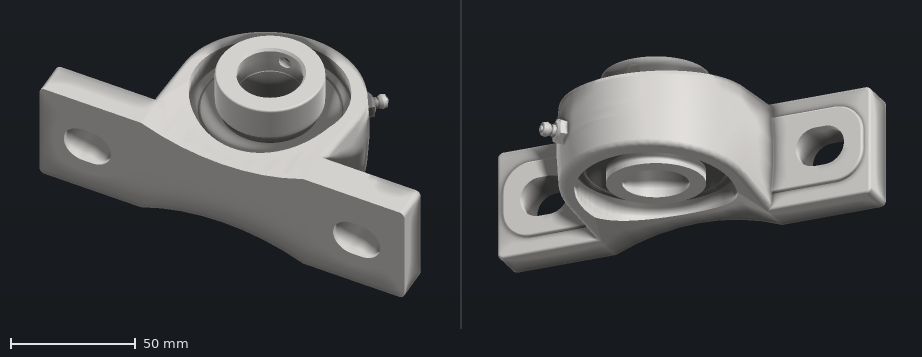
import cadquery as cq
import math

BASE_LENGTH = 164.0
BASE_HEIGHT = 15.3
BASE_WIDTH = 46.9
BASE_CORNER_RADIUS = 2.5
BASE_EDGE_RADIUS = 1.1

PAD_LENGTH = 158.1
PAD_WIDTH = 32.8
PAD_HEIGHT = 1.8
PAD_CORNER_RADIUS = 12.3
PAD_EDGE_RADIUS = 0.8
PAD_ROOT_RADIUS = 0.8

SLOT_LENGTH = 21.2
SLOT_WIDTH = 16.9
SLOT_SPACING = 121.0

BORE_HEIGHT = 43.0
ARCH_RADIUS = 40.0
ARCH_CROWN = 1.8
ARCH_EDGE_RADIUS = 2.6
ARCH_TOP_WIDTH = 32.1

WAIST_WIDTH = 72.8
WAIST_DEPTH = 7.4

OUTER_RING_DIAMETER = 65.5
OUTER_RING_BORE = 51.3
OUTER_RING_CHAMFER_HEIGHT = 0.7
OUTER_RING_CHAMFER_DEPTH = 1.1
RING_HALF_WIDTH = 10.5

SEAL_DIAMETER = 58.0
SEAL_THICKNESS = 2.0
SEAL_FACE_DIAMETER = 56.0
SEAL_CHAMFER = (SEAL_DIAMETER - SEAL_FACE_DIAMETER) / 2
SEAT_CHAMFER = 0.5

SHAFT_BORE = 27.0
NECK_DIAMETER = 40.3
SPIGOT_DIAMETER = 37.7
SPIGOT_TOP = 18.5
SPIGOT_BORE_CHAMFER = 0.5
INNER_RING_BOTTOM = -16.2

COLLAR_DIAMETER = 44.5
COLLAR_LIP_DIAMETER = 41.3
COLLAR_LIP_HEIGHT = 1.6
COLLAR_BOTTOM = 13.1
COLLAR_TOP = 30.2
COLLAR_EDGE_RADIUS = 1.0
COLLAR_BORE_CHAMFER = 1.0

SCREW_DIAMETER = 5.4
SCREW_HEIGHT = 24.3
SCREW_INNER_RADIUS = 17.2
SCREW_OUTER_RADIUS = 23.1

FITTING_ANGLE = 45.0
HEX_FLATS = 9.3
CROWN_BASE_DIAMETER = 9.2
CROWN_TOP_DIAMETER = 7.2
SHANK_DIAMETER = 5.0
NECK_GROOVE_DIAMETER = 3.3
HEAD_BASE_DIAMETER = 5.0
HEAD_RIM_DIAMETER = 6.2
HEAD_TOP_DIAMETER = 5.4
TIP_DIAMETER = 2.5
SHANK_START = 36.0
HEX_START = 39.9
HEX_END = 42.8
CROWN_END = 43.6
SHOULDER_END = 45.1
HEAD_START = 46.0
HEAD_RIM = 47.2
HEAD_END = 49.0
TIP_END = 49.9


def tube(outer_diameter, inner_diameter, bottom, top):
    """Ring around the bore axis between two heights along Z."""
    return (
        cq.Workplane("XY", origin=(0, BORE_HEIGHT, bottom))
        .circle(outer_diameter / 2)
        .circle(inner_diameter / 2)
        .extrude(top - bottom)
    )


def disc(diameter, bottom, top):
    """Solid cylinder on the bore axis between two heights along Z."""
    return cq.Workplane("XY", origin=(0, BORE_HEIGHT, bottom)).circle(diameter / 2).extrude(top - bottom)


def foot_block(length, width, bottom, top):
    """Rectangular block centred on X and Z between two heights along Y."""
    return cq.Workplane("XY").box(length, top - bottom, width).translate((0, (bottom + top) / 2, 0))


def waist_cutters():
    """Concave scoops in both sides of the foot, reaching up to the bore axis."""
    edge = BASE_WIDTH / 2
    scoop = (
        cq.Workplane("XZ")
        .moveTo(-WAIST_WIDTH / 2, edge)
        .threePointArc((0, edge - WAIST_DEPTH), (WAIST_WIDTH / 2, edge))
        .close()
        .extrude(-BORE_HEIGHT)
    )
    return scoop.union(scoop.mirror("XY"))


def make_plate():
    """Foot plate with rounded corners, a waist on each side and a rounded top rim."""
    plate = foot_block(BASE_LENGTH, BASE_WIDTH, 0, BASE_HEIGHT).cut(waist_cutters())
    plate = plate.edges("|Y").fillet(BASE_CORNER_RADIUS)
    return plate.faces(">Y").edges().fillet(BASE_EDGE_RADIUS)


def make_pad():
    """Long raised pad that shows beside the arch as a bolt seat on each end of the foot."""
    pad = foot_block(PAD_LENGTH, PAD_WIDTH, 0, BASE_HEIGHT + PAD_HEIGHT)
    pad = pad.edges("|Y").fillet(PAD_CORNER_RADIUS)
    return pad.faces(">Y").edges().fillet(PAD_EDGE_RADIUS).cut(waist_cutters())


def make_arch():
    """Round-topped arch with barrel-shaped sides, narrowing along Z toward the top."""
    foot = BASE_HEIGHT - BASE_EDGE_RADIUS
    top = BORE_HEIGHT + ARCH_RADIUS
    rim_radius = ARCH_RADIUS - ARCH_CROWN
    half_width = BASE_WIDTH / 2
    legs = (
        cq.Workplane("XZ", origin=(0, foot, 0))
        .moveTo(rim_radius, -half_width)
        .threePointArc((ARCH_RADIUS, 0), (rim_radius, half_width))
        .lineTo(-rim_radius, half_width)
        .threePointArc((-ARCH_RADIUS, 0), (-rim_radius, -half_width))
        .close()
        .extrude(foot - BORE_HEIGHT)
    )
    crown = (
        cq.Workplane("XZ", origin=(0, BORE_HEIGHT, 0))
        .moveTo(0, -half_width)
        .lineTo(rim_radius, -half_width)
        .threePointArc((ARCH_RADIUS, 0), (rim_radius, half_width))
        .lineTo(0, half_width)
        .close()
        .revolve(180, (0, 0, 0), (0, 1, 0))
    )
    wedge = (
        cq.Workplane("YZ")
        .polyline([
            (foot, -half_width),
            (top, -ARCH_TOP_WIDTH / 2),
            (top, ARCH_TOP_WIDTH / 2),
            (foot, half_width),
        ])
        .close()
        .extrude(ARCH_RADIUS, both=True)
    )
    arch = legs.union(crown).intersect(wedge)
    arch = arch.faces("<Z or >Z").edges("not <Y").fillet(ARCH_EDGE_RADIUS)
    return arch.cut(waist_cutters())


def make_housing(fitting):
    """Foot, pads and arch in one piece, with bolt slots, the bearing bore and the fitting's hole."""
    housing = make_plate().union(make_pad()).union(make_arch())
    pad_top = BASE_HEIGHT + PAD_HEIGHT
    roots = cq.selectors.BoxSelector(
        (-ARCH_RADIUS, pad_top - PAD_EDGE_RADIUS / 2, -PAD_WIDTH / 2),
        (ARCH_RADIUS, pad_top + PAD_EDGE_RADIUS / 2, PAD_WIDTH / 2),
    )
    housing = housing.edges(roots).fillet(PAD_ROOT_RADIUS)
    slots = (
        cq.Workplane("XZ")
        .pushPoints([(-SLOT_SPACING / 2, 0), (SLOT_SPACING / 2, 0)])
        .slot2D(SLOT_LENGTH, SLOT_WIDTH)
        .extrude(-(BASE_HEIGHT + PAD_HEIGHT))
    )
    bore = disc(OUTER_RING_DIAMETER, -BASE_WIDTH / 2, BASE_WIDTH / 2)
    return housing.cut(slots).cut(bore).cut(fitting)


def make_outer_ring():
    """Ring with chamfered outer rims and a chamfered seal seat at each end."""
    ring = tube(OUTER_RING_DIAMETER, OUTER_RING_BORE, -RING_HALF_WIDTH, RING_HALF_WIDTH)
    end_faces = ring.faces("<Z or >Z")
    rims = end_faces.edges(cq.selectors.RadiusNthSelector(-1))
    ring = rims.chamfer(OUTER_RING_CHAMFER_HEIGHT, OUTER_RING_CHAMFER_DEPTH)
    for side in (-1, 1):
        ring = ring.cut(seal_blank(side))
    return ring.edges(cq.selectors.RadiusNthSelector(1)).edges("<Z or >Z").chamfer(SEAT_CHAMFER)


def seal_blank(side):
    """Full disc filling one seal seat; side is +1 or -1 along Z."""
    faces = sorted((side * RING_HALF_WIDTH, side * (RING_HALF_WIDTH - SEAL_THICKNESS)))
    return disc(SEAL_DIAMETER, *faces)


def make_seal(side):
    """Flat annular seal with its outer rim chamfered; side is +1 or -1 along Z."""
    outer_face = ">Z" if side > 0 else "<Z"
    seal = seal_blank(side).faces(outer_face).edges().chamfer(SEAL_CHAMFER)
    return seal.cut(disc(NECK_DIAMETER, -RING_HALF_WIDTH, RING_HALF_WIDTH))


def make_inner_ring():
    """Plain sleeve with a slimmer spigot that enters the locking collar."""
    sleeve = tube(NECK_DIAMETER, SHAFT_BORE, INNER_RING_BOTTOM, COLLAR_BOTTOM)
    spigot = tube(SPIGOT_DIAMETER, SHAFT_BORE, COLLAR_BOTTOM, SPIGOT_TOP)
    bore_rim = spigot.faces(">Z").edges(cq.selectors.RadiusNthSelector(0))
    return sleeve.union(bore_rim.chamfer(SPIGOT_BORE_CHAMFER))


def make_screw():
    """Set screw pointing along Y, standing slightly proud of the collar."""
    return (
        cq.Workplane("XZ", origin=(0, BORE_HEIGHT + SCREW_INNER_RADIUS, SCREW_HEIGHT))
        .circle(SCREW_DIAMETER / 2)
        .extrude(SCREW_INNER_RADIUS - SCREW_OUTER_RADIUS)
    )


def make_collar():
    """Locking collar with a narrow lower lip, a recess for the spigot and a set-screw hole."""
    lip_top = COLLAR_BOTTOM + COLLAR_LIP_HEIGHT
    collar = disc(COLLAR_DIAMETER, lip_top, COLLAR_TOP).edges().fillet(COLLAR_EDGE_RADIUS)
    collar = collar.union(disc(COLLAR_LIP_DIAMETER, COLLAR_BOTTOM, lip_top))
    collar = collar.cut(disc(SHAFT_BORE, COLLAR_BOTTOM, COLLAR_TOP))
    collar = collar.faces(">Z").edges(cq.selectors.RadiusNthSelector(0)).chamfer(COLLAR_BORE_CHAMFER)
    collar = collar.cut(disc(SPIGOT_DIAMETER, COLLAR_BOTTOM, SPIGOT_TOP))
    screw_hole = (
        cq.Workplane("XZ", origin=(0, BORE_HEIGHT, SCREW_HEIGHT))
        .circle(SCREW_DIAMETER / 2)
        .extrude(-COLLAR_DIAMETER)
    )
    return collar.cut(screw_hole)


def make_fitting():
    """Hexagon with a shank below and a necked nipple above, built along Z and then laid in place."""
    hexagon = (
        cq.Workplane("XY", origin=(0, 0, HEX_START))
        .polygon(6, HEX_FLATS / math.cos(math.pi / 6))
        .extrude(HEX_END - HEX_START)
    )
    nipple = (
        cq.Workplane("XZ")
        .polyline([
            (0, SHANK_START),
            (SHANK_DIAMETER / 2, SHANK_START),
            (SHANK_DIAMETER / 2, HEX_END),
            (CROWN_BASE_DIAMETER / 2, HEX_END),
            (CROWN_TOP_DIAMETER / 2, CROWN_END),
            (SHANK_DIAMETER / 2, CROWN_END),
            (SHANK_DIAMETER / 2, SHOULDER_END),
            (NECK_GROOVE_DIAMETER / 2, SHOULDER_END),
            (NECK_GROOVE_DIAMETER / 2, HEAD_START),
            (HEAD_BASE_DIAMETER / 2, HEAD_START),
            (HEAD_RIM_DIAMETER / 2, HEAD_RIM),
            (HEAD_TOP_DIAMETER / 2, HEAD_END),
            (TIP_DIAMETER / 2, HEAD_END),
            (TIP_DIAMETER / 2, TIP_END),
            (0, TIP_END),
        ])
        .close()
        .revolve(360, (0, 0, 0), (0, 1, 0))
    )
    fitting = hexagon.union(nipple)
    fitting = fitting.rotate((0, 0, 0), (0, 1, 0), 90)
    fitting = fitting.rotate((0, 0, 0), (0, 0, 1), FITTING_ANGLE)
    return fitting.translate((0, BORE_HEIGHT, 0))


fitting = make_fitting()
outer_ring = make_outer_ring()
seals = [make_seal(side) for side in (-1, 1)]
inner_ring = make_inner_ring()
collar = make_collar()
screw = make_screw()
housing = make_housing(fitting)

result = cq.Compound.makeCompound([
    housing.val(),
    outer_ring.val(),
    *[seal.val() for seal in seals],
    inner_ring.val(),
    collar.val(),
    screw.val(),
    fitting.val(),
])